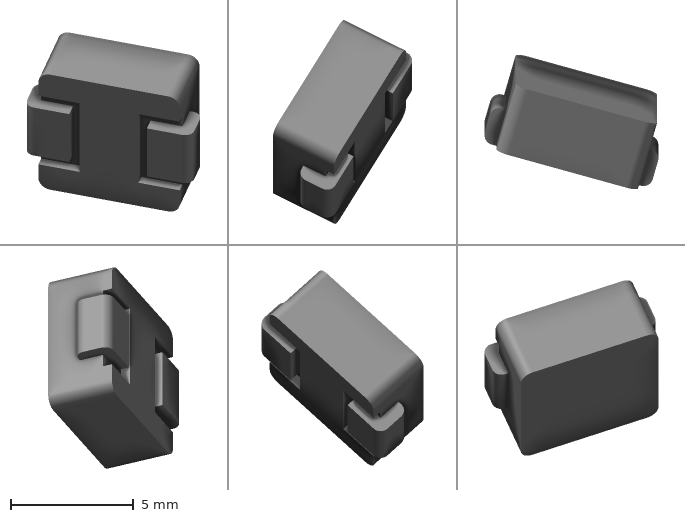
import cadquery as cq

overall_width = 7.1
housing_side = 6.0
housing_depth = 2.855
housing_corner_radius = 0.5

recess_length = 1.755
recess_height = 3.58
recess_depth = 0.4

terminal_proud = 0.15
terminal_length = 1.9
terminal_height = 2.5
terminal_side_rise = 1.575
terminal_bend_radius = 0.4

half_side = housing_side / 2
half_width = overall_width / 2
recess_inner_x = half_side - recess_length
terminal_inner_x = half_width - terminal_length
terminal_front_y = -terminal_proud
terminal_back_y = terminal_front_y + terminal_side_rise


def make_box(x_min, x_max, y_min, y_max, height):
    """Box between the given X and Y limits, centred on Z = 0."""
    return cq.Workplane("XY").box(
        x_max - x_min, y_max - y_min, height, centered=(False, False, True)
    ).translate((x_min, y_min, 0))


def make_recess(side):
    """Volume removed for one terminal; side is +1 or -1 along X."""
    x_limits = sorted((side * recess_inner_x, side * half_side))
    return make_box(*x_limits, 0, recess_depth, recess_height)


def make_housing():
    block = make_box(-half_side, half_side, 0, housing_depth, housing_side)
    block = block.edges("|Y").fillet(housing_corner_radius)
    for side in (-1, 1):
        block = block.cut(make_recess(side))
    return block


def make_terminal(side):
    """L-shaped strip with both outer edges rounded; side is +1 or -1 along X."""
    profile = [
        (side * terminal_inner_x, terminal_front_y),
        (side * half_width, terminal_front_y),
        (side * half_width, terminal_back_y),
        (side * half_side, terminal_back_y),
        (side * half_side, recess_depth),
        (side * terminal_inner_x, recess_depth),
    ]
    strip = cq.Workplane("XY").polyline(profile).close().extrude(terminal_height / 2, both=True)
    outer_face = ">X" if side > 0 else "<X"
    return strip.faces(outer_face).edges("|Z").fillet(terminal_bend_radius)


housing = make_housing()
terminals = [make_terminal(side) for side in (-1, 1)]

result = cq.Compound.makeCompound([housing.val(), *[terminal.val() for terminal in terminals]])